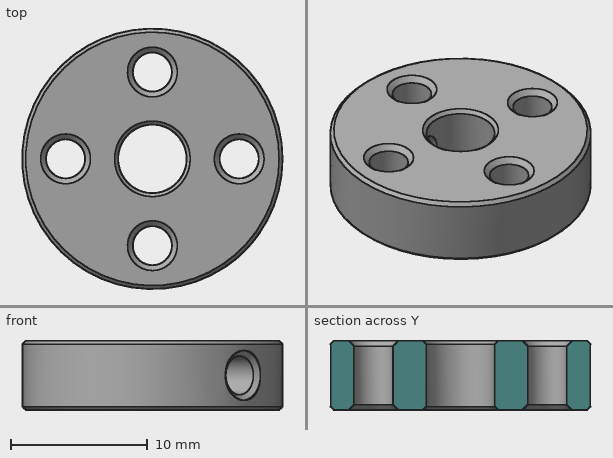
import cadquery as cq
import math

outer_diameter = 19.05
thickness = 5.09
edge_chamfer = 0.27

bore_diameter = 5.0
bore_chamfer = 0.27

screw_hole_diameter = 2.84
screw_hole_chamfer = 0.4
bolt_circle_radius = 6.35
bolt_count = 4
set_screw_angle = -45.0

outer_radius = outer_diameter / 2
screw_hole_radius = screw_hole_diameter / 2


def chamfered_disc():
    disc = cq.Workplane("XY").circle(outer_radius).extrude(thickness)
    return disc.faces("<Z or >Z").edges().chamfer(edge_chamfer)


def chamfered_hole_cutter(diameter, chamfer):
    """Through hole along Z, chamfered at 45 degrees at both disc faces."""
    radius = diameter / 2
    mouth_radius = radius + chamfer
    profile = [
        (0, 0),
        (mouth_radius, 0),
        (radius, chamfer),
        (radius, thickness - chamfer),
        (mouth_radius, thickness),
        (0, thickness),
    ]
    return cq.Workplane("XZ").polyline(profile).close().revolve(360, (0, 0), (0, 1))


def set_screw_cutter():
    """Radial hole from the rim into the bore, countersunk at the rim."""
    mouth_radius = screw_hole_radius + screw_hole_chamfer
    mouth_distance = math.sqrt(outer_radius**2 - mouth_radius**2)
    countersink_start = math.sqrt(outer_radius**2 - screw_hole_radius**2) - screw_hole_chamfer
    profile = [
        (0, 0),
        (0, screw_hole_radius),
        (countersink_start, screw_hole_radius),
        (mouth_distance, mouth_radius),
        (outer_radius, mouth_radius),
        (outer_radius, 0),
    ]
    cutter = cq.Workplane("XY").polyline(profile).close().revolve(360, (0, 0), (1, 0))
    cutter = cutter.rotate((0, 0, 0), (0, 0, 1), set_screw_angle)
    return cutter.translate((0, 0, thickness / 2))


result = chamfered_disc().cut(chamfered_hole_cutter(bore_diameter, bore_chamfer))

bolt_hole = chamfered_hole_cutter(screw_hole_diameter, screw_hole_chamfer)
for index in range(bolt_count):
    angle = index * 360 / bolt_count
    placed_hole = bolt_hole.translate((bolt_circle_radius, 0, 0)).rotate((0, 0, 0), (0, 0, 1), angle)
    result = result.cut(placed_hole)

result = result.cut(set_screw_cutter())